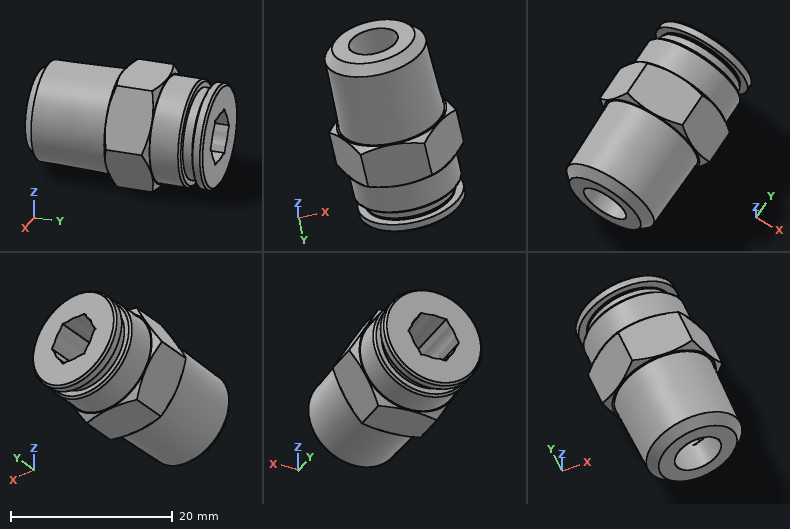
import cadquery as cq
import math


length = 23.75
thread_chamfer_end = 1.2
nut_start = 10.97
nut_end = 16.93
body_end = 20.92
neck_end = 22.32
collar_start = 22.55

thread_tip_radius = 5.25
thread_small_radius = 6.44
thread_large_radius = 6.7
body_radius = 6.85
neck_radius = 5.85
collar_radius = 6.75
bore_radius = 3.1

body_chamfer = 0.28
neck_chamfer = 0.2

nut_across_flats = 14.0
nut_chamfer_radius = 6.95
nut_chamfer_angle = math.radians(30)

socket_across_flats = 6.0
socket_start = 3.42


def hexagonal_prism(across_flats, start, end):
    """Hexagon along Y with corners on the X axis."""
    across_corners = across_flats / math.cos(math.pi / 6)
    return (
        cq.Workplane("XZ", origin=(0, start, 0))
        .polygon(6, across_corners)
        .extrude(start - end)
    )


def revolve_about_y(profile):
    """Solid of revolution from (radius, y) points."""
    return cq.Workplane("XY").polyline(profile).close().revolve(360, (0, 0, 0), (0, 1, 0))


def make_turned_body():
    """Tapered thread, body, neck and release collar."""
    return revolve_about_y([
        (0, 0),
        (thread_tip_radius, 0),
        (thread_small_radius, thread_chamfer_end),
        (thread_large_radius, nut_start),
        (body_radius, nut_start),
        (body_radius, body_end - body_chamfer),
        (body_radius - body_chamfer, body_end),
        (neck_radius, body_end),
        (neck_radius, neck_end - neck_chamfer),
        (neck_radius - neck_chamfer, neck_end),
        (neck_radius - neck_chamfer, collar_start),
        (collar_radius, collar_start),
        (collar_radius, length - body_chamfer),
        (collar_radius - body_chamfer, length),
        (0, length),
    ])


def make_nut():
    """Hexagon with its corners turned off conically at both ends."""
    corner_radius = nut_across_flats / 2 / math.cos(math.pi / 6)
    chamfer_height = (corner_radius - nut_chamfer_radius) * math.tan(nut_chamfer_angle)
    envelope = revolve_about_y([
        (0, nut_start),
        (nut_chamfer_radius, nut_start),
        (corner_radius, nut_start + chamfer_height),
        (corner_radius, nut_end - chamfer_height),
        (nut_chamfer_radius, nut_end),
        (0, nut_end),
    ])
    return hexagonal_prism(nut_across_flats, nut_start, nut_end).intersect(envelope)


bore = cq.Workplane("XZ").circle(bore_radius).extrude(-length)
key_socket = hexagonal_prism(socket_across_flats, socket_start, length)

result = make_turned_body().union(make_nut()).cut(bore).cut(key_socket)